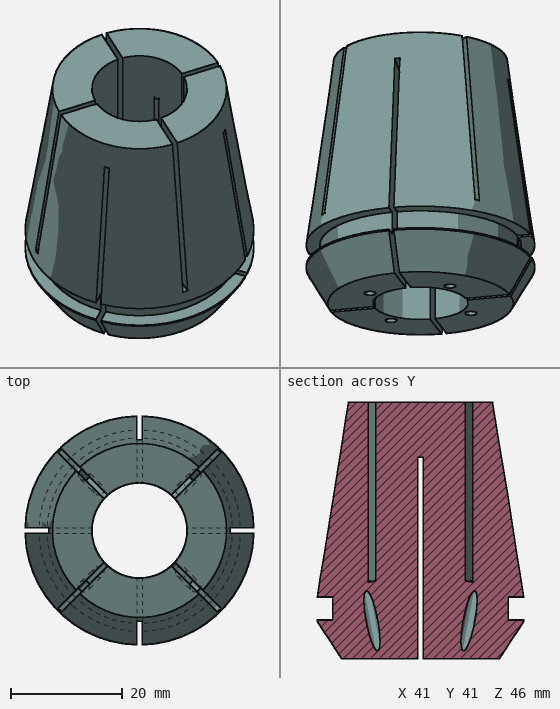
import cadquery as cq
import math

height = 46.0
rim_diameter = 41.0
rim_radius = rim_diameter / 2
bore_radius = 8.5
body_taper = 8.0
nose_taper = 30.0
groove_radius = 18.05
groove_bottom = 7.0
groove_top = 11.1
rim_land = 0.28

slot_width = 0.9
slot_count = 4
slot_pitch = 360 / slot_count
blade_radius = 20.0
lower_blade_offset = 23.0
lower_slot_end = 42.15
upper_blade_offset = 17.5
upper_slot_end = 13.2
clearance = 4.6

hole_diameter = 2.0
hole_radius = hole_diameter / 2
hole_lean = math.radians(15.0)
hole_offset = 14.08

UP = 1
DOWN = -1


def turned_body():
    """Two opposed cones with a groove between them and a straight bore."""
    top_radius = rim_radius - (height - groove_top) * math.tan(math.radians(body_taper))
    nose_top = groove_bottom - rim_land
    nose_radius = rim_radius - nose_top * math.tan(math.radians(nose_taper))
    half_section = [
        (bore_radius, 0),
        (nose_radius, 0),
        (rim_radius, nose_top),
        (rim_radius, groove_bottom),
        (groove_radius, groove_bottom),
        (groove_radius, groove_top),
        (rim_radius, groove_top),
        (top_radius, height),
        (bore_radius, height),
    ]
    return cq.Workplane("XZ").polyline(half_section).close().revolve(360, (0, 0), (0, 1))


def slot_end_z(x, blade_offset, slot_end, direction):
    """Height of the arced slot end at distance x from the axis."""
    sagitta = blade_radius - math.sqrt(blade_radius**2 - (x - blade_offset) ** 2)
    return slot_end - direction * sagitta


def slot_cutter(blade_offset, slot_end, open_z, direction):
    """Slot on the +X side, sawn in the given direction from the face at open_z."""
    inner = bore_radius / 2
    outer = rim_radius + clearance
    middle = (inner + outer) / 2
    open_edge = open_z - direction * clearance
    inner_end, middle_end, outer_end = [
        (x, slot_end_z(x, blade_offset, slot_end, direction)) for x in (inner, middle, outer)
    ]
    return (
        cq.Workplane("XZ")
        .moveTo(inner, open_edge)
        .lineTo(*inner_end)
        .threePointArc(middle_end, outer_end)
        .lineTo(outer, open_edge)
        .close()
        .extrude(slot_width / 2, both=True)
    )


def relief_hole_cutter():
    """Hole on the +X side that leans toward the axis going down from the slot end."""
    slot_floor = slot_end_z(hole_offset, upper_blade_offset, upper_slot_end, DOWN)
    axis_down = cq.Vector(-math.sin(hole_lean), 0, -math.cos(hole_lean))
    start = cq.Vector(hole_offset, 0, slot_floor) - axis_down * hole_radius * math.tan(hole_lean)
    length = (slot_floor + clearance) / math.cos(hole_lean)
    return cq.Workplane(cq.Solid.makeCylinder(hole_radius, length, start, axis_down))


def cut_around(body, cutter, first_angle):
    """Cut the same tool at every slot pitch around Z."""
    for index in range(slot_count):
        angle = first_angle + index * slot_pitch
        body = body.cut(cutter.rotate((0, 0, 0), (0, 0, 1), angle))
    return body


lower_slot = slot_cutter(lower_blade_offset, lower_slot_end, 0, UP)
upper_slot = slot_cutter(upper_blade_offset, upper_slot_end, height, DOWN)

result = turned_body()
result = cut_around(result, lower_slot, 0)
result = cut_around(result, upper_slot, slot_pitch / 2)
result = cut_around(result, relief_hole_cutter(), slot_pitch / 2)